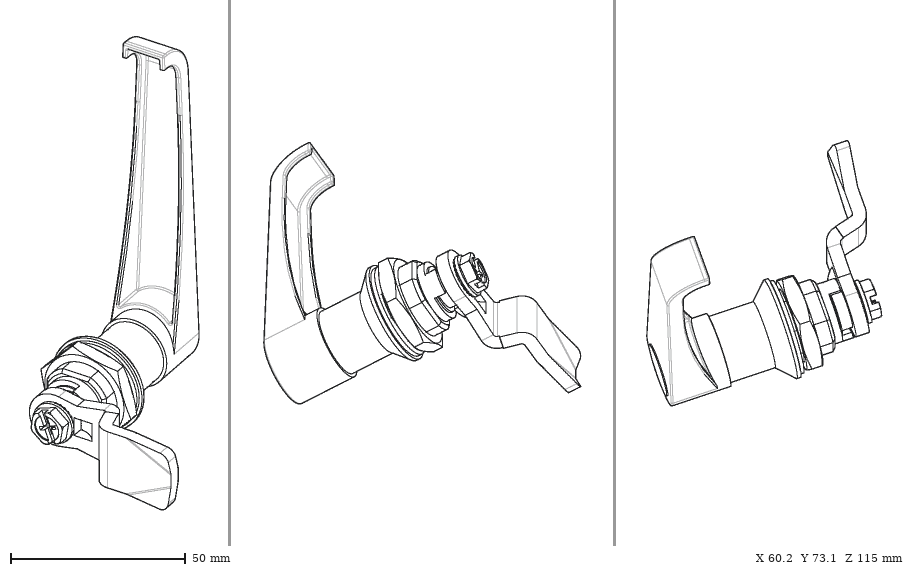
import cadquery as cq
import math


PANEL_GAP = 1.0
Y_HUB_BACK = 39.2
Y_HUB_FRONT = 21.2
Y_CONE_TOP = 7.4
Y_RIM_TOP = 2.4
Y_GASKET_TOP = 1.3
Y_THREAD_END = -11.2
Y_BOSS_END = -13.5
Y_SPINDLE_FLANGE_END = -14.0
Y_STOP_END = -17.0
Y_CAM_BACK = -17.5

HUB_RADIUS = 11.0
LEVER_TOP = 100.0
LEVER_TOP_HALF_WIDTH = 6.9
LEVER_BAR_DEPTH = 5.0
LEVER_WALL = 1.6
LEVER_ROUND = 0.5
HOOK_RADIUS = 11.5
HOOK_STRAIGHT = 1.6
RIM_FLARE_START = 75.9
RIM_END_Y = 24.6
COVER_RADIUS = 7.8
COVER_HEIGHT = 0.3

SLEEVE_RADIUS = 10.0
COLLAR_RADIUS = 15.0
THREAD_RADIUS = 11.0
THREAD_FLAT = 10.0
THREAD_CHAMFER = 1.0
CHAMFER_ANGLE = 45.0
BOSS_RADIUS = 9.0
STOP_INNER_RADIUS = 7.4
STOP_PLANE = 3.0
GASKET_RADIUS = 14.0
NUT_FLATS = 27.0
NUT_THICKNESS = 5.0
NUT_TURN = 47.0
NUT_FACE_RADIUS = 13.3
NUT_CHAMFER = 0.9

SPINDLE_RADIUS = 7.2
SPINDLE_NECK_RADIUS = 6.0

CAM_THICKNESS = 4.0
CAM_OFFSET = 10.1
CAM_HUB_RADIUS = 8.5
CAM_HUB_X = -0.5
CAM_ARC_END_X = 0.9
CAM_WAIST_X = 7.1
CAM_WAIST_HALF = 7.2
CAM_HALF_WIDTH = 9.5
CAM_TAPER_END_X = 16.1
CAM_TAPER_END_HALF = 8.9
CAM_SHOULDER_X = 21.3
CAM_SHOULDER_HALF = 9.1
Y_SHOULDER = -21.7
CAM_END_X = 45.0
CAM_CORNER = 2.5
JOG_START_X = 18.5
JOG_LEAN = 15.0
JOG_INNER_RADIUS = 1.0
FOLD_START_X = 30.1
FOLD_END_HALF = 2.2
FOLD_ANGLE = 19.0
FOLD_RADIUS = 1.4
LUG_START_X = 6.1
LUG_RECESS_LENGTH = 6.0
LUG_RECESS_DEPTH = 3.7
LUG_RADIUS = 7.0

SHANK_RADIUS = 4.0
SHANK_IN_SPINDLE = 10.0
TOOTH_RING_RADIUS = 5.8
TOOTH_RING_HEIGHT = 0.6
TOOTH_COUNT = 24
TOOTH_WIDTH = 0.5
SCREW_FLANGE_RADIUS = 6.4
SCREW_FLANGE_HEIGHT = 1.2
HEAD_FLATS = 10.0
HEAD_HEIGHT = 3.3
HEAD_TURN = 20.8
HEAD_CHAMFER = 0.3
SLOT_WIDTH = 2.2
SLOT_DEPTH = 2.0
CROSS_LENGTH = 5.5
CROSS_WIDTH = 1.0
CROSS_DEPTH = 2.8
DISH_RADIUS = 4.0
DISH_DEPTH = 0.5

Y_NUT_BACK = -PANEL_GAP
Y_NUT_FRONT = Y_NUT_BACK - NUT_THICKNESS
Y_CAM_FRONT = Y_CAM_BACK - CAM_THICKNESS
Y_TIP_BACK = Y_CAM_BACK - CAM_OFFSET
Y_TIP_FRONT = Y_TIP_BACK - CAM_THICKNESS


def section_at(y):
    """Sketch plane across the lock axis at y, with X right and Z up; it extrudes toward -Y."""
    return cq.Workplane("XZ", origin=(0, y, 0))


def cylinder(radius, y_from, y_to):
    """Cylinder on the lock axis."""
    return section_at(y_from).circle(radius).extrude(y_from - y_to)


def hexagon(flats, y_from, y_to, turn):
    """Hexagonal prism on the lock axis, with one corner at the angle turn from +X."""
    corner_diameter = flats / math.cos(math.pi / 6)
    prism = section_at(y_from).polygon(6, corner_diameter).extrude(y_from - y_to)
    return prism.rotate((0, 0, 0), (0, 1, 0), -turn)


def revolve_y(points):
    """Solid of revolution about the lock axis from (radius, y) points."""
    return cq.Workplane("XY").polyline(points).close().revolve(360, (0, 0, 0), (0, 1, 0))


def lever_side_profile(inset):
    """Side outline of the lever bar, its back face moved inward by inset."""
    hook_y = Y_HUB_BACK - HOOK_RADIUS
    hook_z = LEVER_TOP - HOOK_RADIUS
    tip_y = hook_y - HOOK_STRAIGHT
    outer = HOOK_RADIUS - inset
    inner = HOOK_RADIUS - LEVER_BAR_DEPTH
    mid = math.sqrt(0.5)
    return (
        cq.Workplane("YZ")
        .moveTo(hook_y + outer, 0)
        .lineTo(hook_y + outer, hook_z)
        .threePointArc((hook_y + outer * mid, hook_z + outer * mid), (hook_y, hook_z + outer))
        .lineTo(tip_y, hook_z + outer)
        .lineTo(tip_y, hook_z + inner)
        .lineTo(hook_y, hook_z + inner)
        .threePointArc((hook_y + inner * mid, hook_z + inner * mid), (hook_y + inner, hook_z))
        .lineTo(hook_y + inner, RIM_FLARE_START)
        .tangentArcPoint((RIM_END_Y, 0), relative=False)
        .close()
    )


def lever_taper(inset):
    """Tapered block as wide as the lever, its sides moved inward by inset."""
    bottom = HUB_RADIUS - inset
    top = LEVER_TOP_HALF_WIDTH - inset
    outline = [(-bottom, 0), (bottom, 0), (top, LEVER_TOP), (-top, LEVER_TOP)]
    return section_at(Y_HUB_BACK).polyline(outline).close().extrude(Y_HUB_BACK)


def make_lever():
    hub = cylinder(HUB_RADIUS, Y_HUB_BACK, Y_HUB_FRONT).faces(">Y").edges().fillet(LEVER_ROUND)
    bar = lever_side_profile(0).extrude(HUB_RADIUS, both=True).intersect(lever_taper(0))
    hollow = lever_side_profile(LEVER_WALL).extrude(HUB_RADIUS, both=True)
    root = cylinder(HUB_RADIUS + LEVER_WALL, Y_HUB_BACK, 0)
    hollow = hollow.intersect(lever_taper(LEVER_WALL)).cut(root)
    bar = bar.cut(hollow)
    bar = bar.edges(cq.selectors.BoxSelector((-23, -1.2, 1.2), (23, 57.5, 115))).fillet(LEVER_ROUND)
    cover = cylinder(COVER_RADIUS, Y_HUB_BACK + COVER_HEIGHT, Y_HUB_BACK)
    return bar.union(hub).union(cover)


def make_stops():
    """Two quarter-ring stops at the front of the boss, half a turn apart."""
    ring = cylinder(BOSS_RADIUS, Y_BOSS_END, Y_STOP_END)
    ring = ring.cut(cylinder(STOP_INNER_RADIUS, Y_BOSS_END, Y_STOP_END))
    centre = STOP_PLANE + BOSS_RADIUS / 2
    height = Y_BOSS_END - Y_STOP_END
    quarters = (
        section_at(Y_BOSS_END)
        .pushPoints([(centre, centre), (-centre, -centre)])
        .rect(BOSS_RADIUS, BOSS_RADIUS)
        .extrude(height)
    )
    return ring.intersect(quarters)


def thread_section(y_from, y_to, taper=0):
    """Round thread cut by four flats; with a taper its end is chamfered at that angle."""
    length = y_from - y_to
    round_bar = section_at(y_from).circle(THREAD_RADIUS).extrude(length, taper=taper)
    flats = section_at(y_from).rect(2 * THREAD_FLAT, 2 * THREAD_FLAT).extrude(length, taper=taper)
    return round_bar.intersect(flats)


def make_housing():
    body = revolve_y([
        (0, Y_HUB_FRONT),
        (SLEEVE_RADIUS, Y_HUB_FRONT),
        (SLEEVE_RADIUS, Y_CONE_TOP),
        (COLLAR_RADIUS, Y_RIM_TOP),
        (COLLAR_RADIUS, Y_GASKET_TOP),
        (0, Y_GASKET_TOP),
    ])
    y_chamfer = Y_THREAD_END + THREAD_CHAMFER
    thread = thread_section(Y_GASKET_TOP, y_chamfer)
    thread = thread.union(thread_section(y_chamfer, Y_THREAD_END, taper=CHAMFER_ANGLE))
    boss = cylinder(BOSS_RADIUS, Y_THREAD_END, Y_BOSS_END)
    body = body.union(thread).union(boss)
    body = body.cut(cylinder(SPINDLE_RADIUS, Y_HUB_FRONT, Y_BOSS_END))
    return body.union(make_stops())


def make_gasket():
    return cylinder(GASKET_RADIUS, Y_GASKET_TOP, 0).cut(thread_section(Y_GASKET_TOP, 0))


def make_nut():
    corner_radius = NUT_FLATS / 2 / math.cos(math.pi / 6)
    envelope = revolve_y([
        (0, Y_NUT_BACK),
        (NUT_FACE_RADIUS, Y_NUT_BACK),
        (corner_radius, Y_NUT_BACK - NUT_CHAMFER),
        (corner_radius, Y_NUT_FRONT + NUT_CHAMFER),
        (NUT_FACE_RADIUS, Y_NUT_FRONT),
        (0, Y_NUT_FRONT),
    ])
    nut = hexagon(NUT_FLATS, Y_NUT_BACK, Y_NUT_FRONT, NUT_TURN).intersect(envelope)
    return nut.cut(cylinder(THREAD_RADIUS, Y_NUT_BACK, Y_NUT_FRONT))


def make_spindle():
    spindle = cylinder(SPINDLE_RADIUS, Y_HUB_FRONT, Y_SPINDLE_FLANGE_END)
    spindle = spindle.union(cylinder(SPINDLE_NECK_RADIUS, Y_SPINDLE_FLANGE_END, Y_CAM_BACK))
    return spindle.cut(cylinder(SHANK_RADIUS, Y_CAM_BACK + SHANK_IN_SPINDLE, Y_CAM_BACK))


def cam_envelope():
    """Plan of the cam, as a prism deep enough for the whole jogged strip."""
    upper_edge = [
        (CAM_WAIST_X, CAM_WAIST_HALF),
        (CAM_TAPER_END_X, CAM_TAPER_END_HALF),
        (CAM_SHOULDER_X, CAM_SHOULDER_HALF),
        (CAM_SHOULDER_X, CAM_HALF_WIDTH),
        (CAM_END_X, CAM_HALF_WIDTH),
    ]
    lower_edge = [(x, -z) for x, z in reversed(upper_edge)]
    arc_end_z = math.sqrt(CAM_HUB_RADIUS**2 - (CAM_ARC_END_X - CAM_HUB_X) ** 2)
    prism = (
        section_at(Y_CAM_BACK)
        .moveTo(CAM_ARC_END_X, -arc_end_z)
        .threePointArc((CAM_HUB_X - CAM_HUB_RADIUS, 0), (CAM_ARC_END_X, arc_end_z))
        .polyline(upper_edge + lower_edge, includeCurrent=True)
        .close()
        .extrude(2 * CAM_OFFSET)
    )
    prism = prism.edges("|Y and >X").fillet(CAM_CORNER)

    shoulder_drop = (CAM_SHOULDER_X - CAM_TAPER_END_X) * math.tan(math.radians(JOG_LEAN))
    full_width = (
        cq.Workplane("XY")
        .polyline([
            (CAM_SHOULDER_X, Y_SHOULDER),
            (CAM_SHOULDER_X, Y_TIP_FRONT),
            (CAM_TAPER_END_X, Y_TIP_FRONT),
            (CAM_TAPER_END_X, Y_SHOULDER - shoulder_drop),
        ])
        .close()
        .extrude(CAM_HALF_WIDTH, both=True)
    )
    return prism.union(full_width)


def cam_strip():
    """Jogged strip of constant thickness, wider than the cam."""
    lean = math.radians(JOG_LEAN)
    shift = CAM_OFFSET * math.tan(lean)
    miter = CAM_THICKNESS / 2 * math.tan((math.pi / 2 - lean) / 2)
    first = JOG_START_X
    second = JOG_START_X + shift
    left = CAM_HUB_X - CAM_HUB_RADIUS
    half = 2 * CAM_HALF_WIDTH
    strip = (
        cq.Workplane("XY")
        .polyline([
            (left, Y_CAM_BACK),
            (first + miter, Y_CAM_BACK),
            (second + miter, Y_TIP_BACK),
            (CAM_END_X, Y_TIP_BACK),
            (CAM_END_X, Y_TIP_FRONT),
            (second - miter, Y_TIP_FRONT),
            (first - miter, Y_CAM_FRONT),
            (left, Y_CAM_FRONT),
        ])
        .close()
        .extrude(half, both=True)
    )

    def round_bend(solid, x, y, radius):
        picker = cq.selectors.NearestToPointSelector((x, y, 0))
        return solid.edges("|Z").edges(picker).fillet(radius)

    outer_radius = JOG_INNER_RADIUS + CAM_THICKNESS
    strip = round_bend(strip, first + miter, Y_CAM_BACK, outer_radius)
    strip = round_bend(strip, second - miter, Y_TIP_FRONT, outer_radius)
    strip = round_bend(strip, second + miter, Y_TIP_BACK, JOG_INNER_RADIUS)
    return round_bend(strip, first - miter, Y_CAM_FRONT, JOG_INNER_RADIUS)


def fold_prism(side, section):
    """Extrude a section of (distance past the fold, Y) points along the fold line of one tip corner."""
    run = CAM_END_X - FOLD_START_X
    rise = CAM_HALF_WIDTH - FOLD_END_HALF
    plane = cq.Plane(
        origin=(FOLD_START_X - run, 0, side * (CAM_HALF_WIDTH + rise)),
        xDir=(rise, 0, side * run),
        normal=(run, 0, -side * rise),
    )
    points = [(distance, y * plane.yDir.y) for distance, y in section]
    return cq.Workplane(plane).polyline(points).close().extrude(3 * math.hypot(run, rise))


def fold_corner(cam, envelope, side):
    """Replace one flat tip corner by a corner leaning toward -Y."""
    reach = CAM_HALF_WIDTH
    drop = reach * math.tan(math.radians(FOLD_ANGLE))
    flat = fold_prism(side, [(0, Y_TIP_BACK), (reach, Y_TIP_BACK), (reach, Y_TIP_FRONT), (0, Y_TIP_FRONT)])
    leaning = fold_prism(
        side, [(0, Y_TIP_BACK), (reach, Y_TIP_BACK - drop), (reach, Y_TIP_FRONT - drop), (0, Y_TIP_FRONT)]
    )
    cam = cam.cut(flat).union(leaning.intersect(envelope))
    fold_middle = (
        (FOLD_START_X + CAM_END_X) / 2,
        Y_TIP_FRONT,
        side * (CAM_HALF_WIDTH + FOLD_END_HALF) / 2,
    )
    return cam.edges(cq.selectors.NearestToPointSelector(fold_middle)).fillet(FOLD_RADIUS)


def lug_sector(length, height):
    """Arc-topped wedge on the cam's front face, highest at its start and level there."""
    radius = (length**2 + height**2) / (2 * height)
    half_angle = math.asin(length / radius) / 2
    mid = (radius * math.sin(half_angle), height - radius + radius * math.cos(half_angle))
    return (
        cq.Workplane("XY", origin=(LUG_START_X, Y_CAM_FRONT, -STOP_PLANE))
        .lineTo(length, 0)
        .threePointArc(mid, (0, height))
        .close()
        .extrude(2 * STOP_PLANE)
    )


def make_cam():
    envelope = cam_envelope()
    cam = cam_strip().intersect(envelope)
    for side in (1, -1):
        cam = fold_corner(cam, envelope, side)
    cam = cam.union(lug_sector(LUG_RADIUS, LUG_RADIUS))
    cam = cam.cut(lug_sector(LUG_RECESS_LENGTH, LUG_RECESS_DEPTH))
    return cam.cut(cylinder(SHANK_RADIUS, Y_CAM_BACK, Y_CAM_FRONT))


def make_screw():
    y_teeth = Y_CAM_FRONT - TOOTH_RING_HEIGHT
    y_flange = y_teeth - SCREW_FLANGE_HEIGHT
    y_end = y_flange - HEAD_HEIGHT
    screw = cylinder(SHANK_RADIUS, Y_CAM_BACK + SHANK_IN_SPINDLE, Y_CAM_FRONT)
    screw = screw.union(cylinder(TOOTH_RING_RADIUS, Y_CAM_FRONT, y_teeth))
    teeth = (
        section_at(Y_CAM_FRONT)
        .polarArray(TOOTH_RING_RADIUS, 0, 360, TOOTH_COUNT)
        .rect(SCREW_FLANGE_RADIUS - TOOTH_RING_RADIUS, TOOTH_WIDTH)
        .extrude(TOOTH_RING_HEIGHT)
    )
    screw = screw.union(teeth).union(cylinder(SCREW_FLANGE_RADIUS, y_teeth, y_flange))

    corner_radius = HEAD_FLATS / 2 / math.cos(math.pi / 6)
    crown = cylinder(corner_radius, y_flange, y_end).faces("<Y").chamfer(HEAD_CHAMFER)
    head = hexagon(HEAD_FLATS, y_flange, y_end, HEAD_TURN).intersect(crown)
    head = head.cut(cylinder(DISH_RADIUS, y_end + DISH_DEPTH, y_end))

    def recess(width, height, depth):
        cutter = section_at(y_end + depth).rect(width, height).extrude(depth)
        return cutter.rotate((0, 0, 0), (0, 1, 0), -HEAD_TURN)

    head = head.cut(recess(SLOT_WIDTH, 2 * HEAD_FLATS, SLOT_DEPTH))
    head = head.cut(recess(CROSS_LENGTH, CROSS_WIDTH, CROSS_DEPTH))
    head = head.cut(recess(CROSS_WIDTH, CROSS_LENGTH, CROSS_DEPTH))
    return screw.union(head)


lever = make_lever().solids()
housing = make_housing().solids()
gasket = make_gasket().solids()
nut = make_nut().solids()
spindle = make_spindle().solids()
cam = make_cam().solids()
screw = make_screw().solids()

result = cq.Compound.makeCompound([
    lever.val(),
    housing.val(),
    gasket.val(),
    nut.val(),
    spindle.val(),
    cam.val(),
    screw.val(),
])